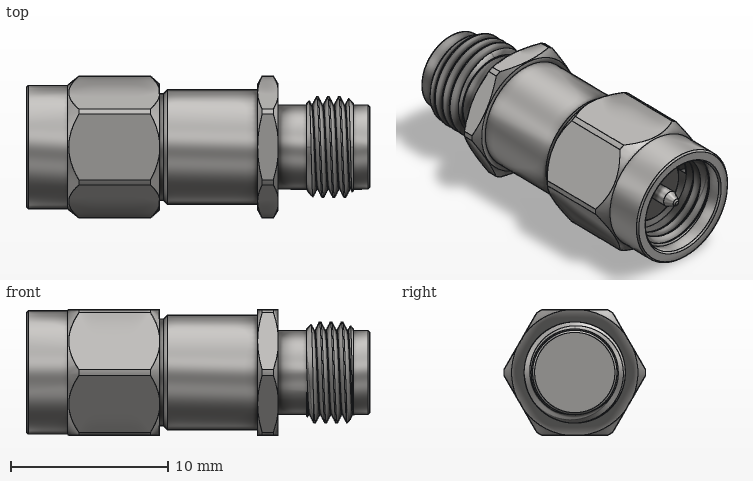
import cadquery as cq
import math

total_length = 21.85

hex_across_flats = 8.0
hex_corner_radius = 4.51
rear_face_radius = 4.02
flange_front_radius = 3.95

collar_radius = 3.93
collar_edge_chamfer = 0.1
nut_hex_start = 2.6
nut_end = 8.45
nut_front_chamfer = 0.72
nut_rear_chamfer = 0.57

neck_radius = 3.4
body_radius = 3.65
body_start = 8.71
body_chamfer = body_radius - neck_radius
flange_start = 14.68
flange_end = 16.0
flange_corner_chamfer = 0.3

barrel_radius = 2.69
barrel_end_chamfer = 0.13
thread_pitch = 0.7
crest_width = 0.09
thread_crest_radius = 3.221
thread_start = 17.82
thread_end = 20.8
thread_end_radius = 2.77
thread_turn_offset = -0.02

entry_radius = 3.17
entry_chamfer = 0.1
entry_depth = 0.96
bore_radius = 2.75
bore_depth = 3.54
bore_thread_radius = 3.12
bore_thread_start = 0.65
bore_thread_turns = 3.5

plug_radius = 2.27
plug_face_radius = 2.12
plug_face_x = 2.75
plug_chamfer = plug_radius - plug_face_radius
pin_radius = 0.52
pin_tip_radius = 0.25
pin_tip_chamfer = 0.1
pin_tip_x = 0.57
pin_cone_end = 1.27

joint_overlap = 0.02


def turned(profile):
    """Revolve an (x, radius) outline, closed along the axis, about X."""
    first_x = profile[0][0]
    last_x = profile[-1][0]
    outline = [(first_x, 0), *profile, (last_x, 0)]
    return cq.Workplane("XZ").polyline(outline).close().revolve(360, (0, 0, 0), (1, 0, 0))


def chamfered_hex(start, end, front_radius, front_chamfer, rear_chamfer):
    """Hexagon with flats facing +Z and -Z, its corners turned down at both ends."""
    across_corners = hex_across_flats / math.cos(math.pi / 6)
    prism = cq.Workplane("YZ", origin=(start, 0, 0)).polygon(6, across_corners).extrude(end - start)
    envelope = turned([
        (start, front_radius),
        (start + front_chamfer, hex_corner_radius),
        (end - rear_chamfer, hex_corner_radius),
        (end, rear_face_radius),
    ])
    return prism.intersect(envelope)


def helical_ridge(start, turns, root_radius, crest_radius, root_width):
    """Right-handed trapezoidal ridge wound round X, its first section centred on x = start."""
    length = turns * thread_pitch

    def helix(radius, offset):
        wire = cq.Wire.makeHelix(thread_pitch, length, radius)
        return wire.moved(cq.Location(cq.Vector(0, 0, offset)))

    corners = [
        (root_radius, -root_width / 2),
        (crest_radius, -crest_width / 2),
        (crest_radius, crest_width / 2),
        (root_radius, root_width / 2),
    ]
    helices = [helix(radius, offset) for radius, offset in corners]
    faces = []
    for index, wire in enumerate(helices):
        faces.append(cq.Face.makeRuledSurface(helices[index - 1], wire))
    for height in (0, length):
        angle = 2 * math.pi * height / thread_pitch
        points = []
        for radius, offset in corners:
            points.append(cq.Vector(radius * math.cos(angle), radius * math.sin(angle), height + offset))
        faces.append(cq.Face.makeFromWires(cq.Wire.makePolygon(points, close=True)))
    ridge = cq.Solid.makeSolid(cq.Shell.makeShell(faces))
    ridge = ridge.rotate(cq.Vector(0, 0, 0), cq.Vector(1, 1, 1), 120)
    return cq.Workplane(ridge.moved(cq.Location(cq.Vector(start, 0, 0))))


def turned_body():
    return turned([
        (0, collar_radius - collar_edge_chamfer),
        (collar_edge_chamfer, collar_radius),
        (nut_hex_start, collar_radius),
        (nut_end, collar_radius),
        (nut_end, neck_radius),
        (body_start, neck_radius),
        (body_start + body_chamfer, body_radius),
        (flange_start, body_radius),
        (flange_end, body_radius),
        (flange_end, barrel_radius),
        (total_length - barrel_end_chamfer, barrel_radius),
        (total_length, barrel_radius - barrel_end_chamfer),
    ])


def barrel_thread():
    turns = math.ceil((thread_end - thread_start) / thread_pitch) + 2
    ridge = helical_ridge(
        thread_start + thread_turn_offset - thread_pitch,
        turns,
        barrel_radius - joint_overlap,
        thread_crest_radius,
        thread_pitch - 2 * joint_overlap,
    )
    lead = thread_crest_radius - thread_end_radius
    envelope = turned([
        (thread_start, thread_end_radius),
        (thread_start + lead, thread_crest_radius + joint_overlap),
        (thread_end - lead, thread_crest_radius + joint_overlap),
        (thread_end, thread_end_radius),
    ])
    return ridge.intersect(envelope)


def nut_bore():
    return turned([
        (0, entry_radius + entry_chamfer),
        (entry_chamfer, entry_radius),
        (entry_depth, entry_radius),
        (entry_depth + entry_radius - bore_radius, bore_radius),
        (bore_depth, bore_radius),
    ])


def nut_thread_groove():
    """Groove that starts in the open entry and stops short of the bore floor."""
    return helical_ridge(
        bore_thread_start,
        bore_thread_turns,
        bore_radius - joint_overlap,
        bore_thread_radius,
        thread_pitch - 2 * joint_overlap,
    )


def insulator_plug():
    return turned([
        (plug_face_x, plug_face_radius),
        (plug_face_x + plug_chamfer, plug_radius),
        (bore_depth + joint_overlap, plug_radius),
    ])


def centre_pin():
    return turned([
        (pin_tip_x, pin_tip_radius - pin_tip_chamfer),
        (pin_tip_x + pin_tip_chamfer, pin_tip_radius),
        (pin_cone_end, pin_radius),
        (plug_face_x + joint_overlap, pin_radius),
    ])


result = (
    turned_body()
    .union(chamfered_hex(nut_hex_start, nut_end, collar_radius, nut_front_chamfer, nut_rear_chamfer))
    .union(chamfered_hex(
        flange_start, flange_end, flange_front_radius, flange_corner_chamfer, flange_corner_chamfer
    ))
    .union(barrel_thread())
    .cut(nut_bore())
    .cut(nut_thread_groove())
    .union(insulator_plug())
    .union(centre_pin())
)